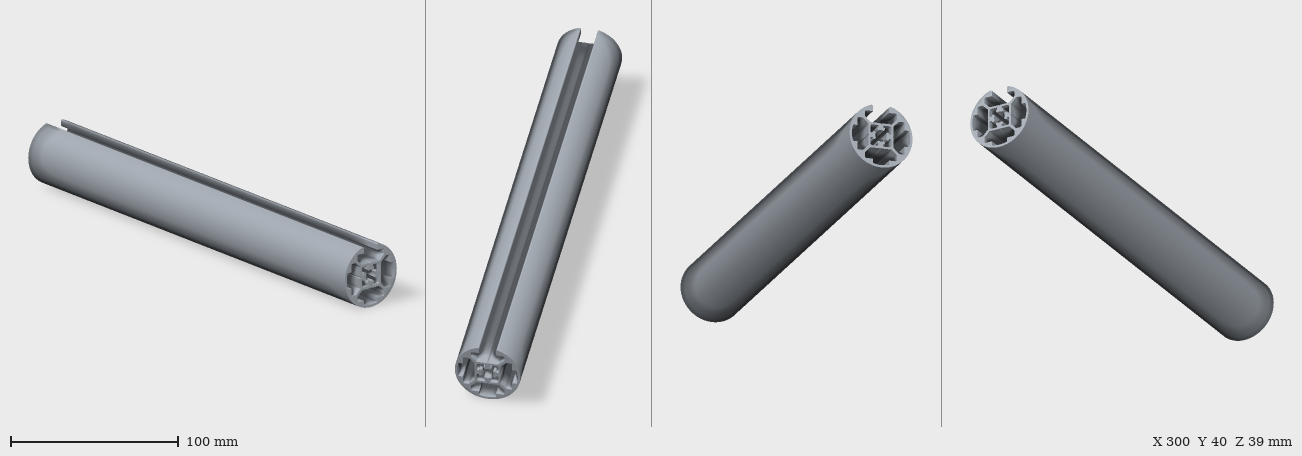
import cadquery as cq
import math

LENGTH = 300.0
OUTER_DIAMETER = 40.0

SLOT_HALF_WIDTH = 5.0
LIP_INNER_FACE = 15.0
CHAMBER_HALF_WIDTH = 10.2
CHAMBER_CORNER_RADIUS = 1.0
SKIN_THICKNESS = 1.5
LIP_EDGE_RADIUS = 1.0
WEB_THICKNESS = 1.75

CORE_WIDTH = 16.0
CORE_WALL = 1.35
CORE_CORNER_RADIUS = 1.2
GROOVE_HALF_WIDTH = 0.5
GROOVE_DEPTH = 0.45

SCREW_RADIUS = 3.5
RIB_STEM_HALF_WIDTH = 1.5
RIB_HEAD_HALF_WIDTH = 2.5
RIB_HEAD_OUTER_FACE = 5.0
RIB_HEAD_SHOULDER = 4.0
RIB_HEAD_CHAMFER = 1.0

SIDE_ANGLES = (0, 90, 180, 270)
OUTER_RADIUS = OUTER_DIAMETER / 2
SKIN_INNER_RADIUS = OUTER_RADIUS - SKIN_THICKNESS
CORE_HALF_WIDTH = CORE_WIDTH / 2
CORE_CAVITY_HALF_WIDTH = CORE_HALF_WIDTH - CORE_WALL


def section():
    """Sketch plane at the X = 0 end: local x is Y and local y is Z."""
    return cq.Workplane("YZ")


def on_side(body, angle):
    """Turn a body made for the +Z side about the part's axis."""
    return body.rotate((0, 0, 0), (1, 0, 0), angle)


def extrude_symmetric(right_half):
    """Extrude an outline given by its +Y half, mirrored across the Z axis."""
    left_half = [(-y, z) for y, z in reversed(right_half)]
    return section().polyline(right_half + left_half).close().extrude(LENGTH)


def chamber():
    """Room between two webs, the core face and the lips, with its centring groove."""
    web_offset = WEB_THICKNESS / math.sqrt(2)
    body = extrude_symmetric([
        (CORE_HALF_WIDTH - web_offset, CORE_HALF_WIDTH),
        (CHAMBER_HALF_WIDTH, CHAMBER_HALF_WIDTH + web_offset),
        (CHAMBER_HALF_WIDTH, LIP_INNER_FACE),
    ])
    body = body.edges("|X and >Z").fillet(CHAMBER_CORNER_RADIUS)
    groove = (
        section()
        .moveTo(-GROOVE_HALF_WIDTH, CORE_HALF_WIDTH)
        .lineTo(0, CORE_HALF_WIDTH - GROOVE_DEPTH)
        .lineTo(GROOVE_HALF_WIDTH, CORE_HALF_WIDTH)
        .close()
        .extrude(LENGTH)
    )
    return body.union(groove)


def slot_gap():
    """Gap between two lips, from the chamber out past the tube."""
    return extrude_symmetric([
        (SLOT_HALF_WIDTH, CORE_HALF_WIDTH),
        (SLOT_HALF_WIDTH, OUTER_RADIUS),
    ])


def core_cavity():
    """Square cavity of the core, less the four T-ribs around the screw channel."""
    side = 2 * CORE_CAVITY_HALF_WIDTH
    cavity = section().rect(side, side).extrude(LENGTH).edges("|X").fillet(CORE_CORNER_RADIUS)
    rib = extrude_symmetric([
        (RIB_STEM_HALF_WIDTH, CORE_HALF_WIDTH),
        (RIB_STEM_HALF_WIDTH, RIB_HEAD_OUTER_FACE),
        (RIB_HEAD_HALF_WIDTH, RIB_HEAD_OUTER_FACE),
        (RIB_HEAD_HALF_WIDTH, RIB_HEAD_SHOULDER),
        (RIB_HEAD_HALF_WIDTH - RIB_HEAD_CHAMFER, RIB_HEAD_SHOULDER - RIB_HEAD_CHAMFER),
    ])
    for angle in SIDE_ANGLES:
        cavity = cavity.cut(on_side(rib, angle))
    return cavity.union(section().circle(SCREW_RADIUS).extrude(LENGTH))


profile = section().circle(OUTER_RADIUS).extrude(LENGTH)

profile = profile.cut(slot_gap())
profile = profile.edges("|X and >Z").fillet(LIP_EDGE_RADIUS)

closed_gap = slot_gap().intersect(section().circle(SKIN_INNER_RADIUS).extrude(LENGTH))
for angle in SIDE_ANGLES[1:]:
    profile = profile.cut(on_side(closed_gap, angle))

for angle in SIDE_ANGLES:
    profile = profile.cut(on_side(chamber(), angle))

result = profile.cut(core_cavity())